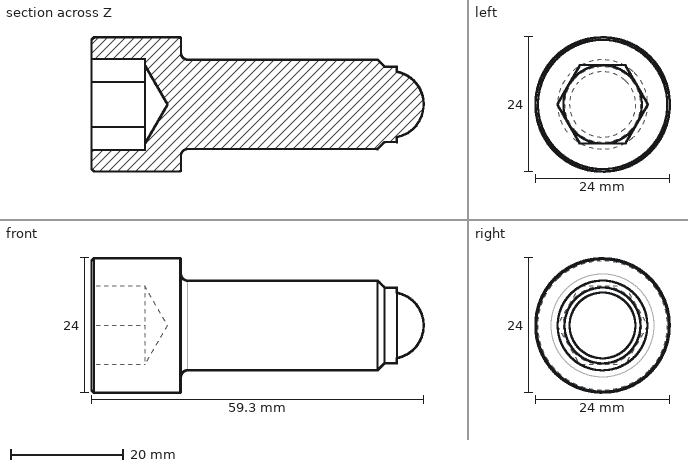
import cadquery as cq
import math

total_length = 59.3
head_diameter = 24.0
head_length = 16.0
front_chamfer = 0.5
rear_chamfer = 0.2

shank_diameter = 16.0
neck_fillet = 1.2
nose_diameter = 13.5
nose_start = 52.3
nose_end = 54.5
shank_chamfer = (shank_diameter - nose_diameter) / 2

ball_radius = 6.0

socket_across_flats = 14.0
socket_depth = 9.55
socket_cone_angle = 120.0


def make_body():
    """Revolve the half outline of head, shank, nose and ball about the X axis."""
    head_radius = head_diameter / 2
    shank_radius = shank_diameter / 2
    nose_radius = nose_diameter / 2

    fillet_inset = neck_fillet * (1 - math.sqrt(0.5))
    fillet_middle = (head_length + fillet_inset, shank_radius + fillet_inset)

    ball_centre = total_length - ball_radius
    ball_angle = math.acos((nose_end - ball_centre) / ball_radius)
    ball_middle = (
        ball_centre + ball_radius * math.cos(ball_angle / 2),
        ball_radius * math.sin(ball_angle / 2),
    )

    outline = (
        cq.Workplane("XY")
        .lineTo(0, head_radius - front_chamfer)
        .lineTo(front_chamfer, head_radius)
        .lineTo(head_length - rear_chamfer, head_radius)
        .lineTo(head_length, head_radius - rear_chamfer)
        .lineTo(head_length, shank_radius + neck_fillet)
        .threePointArc(fillet_middle, (head_length + neck_fillet, shank_radius))
        .lineTo(nose_start - shank_chamfer, shank_radius)
        .lineTo(nose_start, nose_radius)
        .lineTo(nose_end, nose_radius)
        .lineTo(nose_end, ball_radius * math.sin(ball_angle))
        .threePointArc(ball_middle, (total_length, 0))
        .close()
    )
    return outline.revolve(360, (0, 0, 0), (1, 0, 0))


def make_socket():
    """Hexagon with two corners along Y, ending in a drill-point cone."""
    across_corners = socket_across_flats / math.cos(math.radians(30))
    hexagon = cq.Workplane("YZ").polygon(6, across_corners).extrude(socket_depth)
    cone_radius = socket_across_flats / 2
    cone_depth = cone_radius / math.tan(math.radians(socket_cone_angle / 2))
    cone = (
        cq.Workplane("XY")
        .moveTo(socket_depth, 0)
        .lineTo(socket_depth, cone_radius)
        .lineTo(socket_depth + cone_depth, 0)
        .close()
        .revolve(360, (0, 0, 0), (1, 0, 0))
    )
    return hexagon.union(cone)


result = make_body().cut(make_socket())